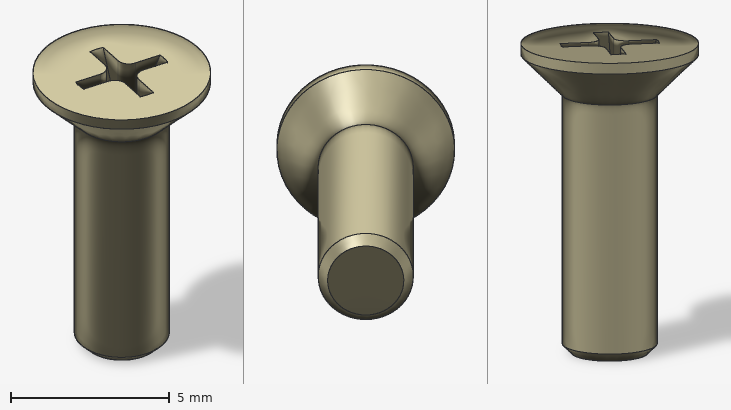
import cadquery as cq

length = 10.0
head_radius = 2.8
shank_radius = 1.5
rim_height = 0.35
tip_chamfer = 0.3
cone_height = head_radius - shank_radius

recess_top_radius = 1.56
recess_floor_radius = 0.65
recess_depth = 2.1
slot_width = 0.48
slot_corner_radius = 0.4


def make_body():
    """Revolve the half profile of the countersunk screw about Z."""
    rim_bottom = length - rim_height
    profile = [
        (0, 0),
        (shank_radius - tip_chamfer, 0),
        (shank_radius, tip_chamfer),
        (shank_radius, rim_bottom - cone_height),
        (head_radius, rim_bottom),
        (head_radius, length),
        (0, length),
    ]
    return cq.Workplane("XZ").polyline(profile).close().revolve(360, (0, 0), (0, 1))


def make_recess():
    """Cross with rounded inner corners, its arm ends tapered by a cone."""
    floor = length - recess_depth
    slot_length = 2 * recess_top_radius + slot_width
    base = cq.Workplane("XY").workplane(offset=floor)
    cross = (
        base.rect(slot_length, slot_width).extrude(recess_depth)
        .union(base.rect(slot_width, slot_length).extrude(recess_depth))
    )
    inner_corners = cq.selectors.BoxSelector(
        (-slot_width, -slot_width, floor), (slot_width, slot_width, length)
    )
    cross = cross.edges("|Z").edges(inner_corners).fillet(slot_corner_radius)
    cone = (
        base.circle(recess_floor_radius)
        .workplane(offset=recess_depth)
        .circle(recess_top_radius)
        .loft(ruled=True)
    )
    return cross.intersect(cone)


result = make_body().cut(make_recess())